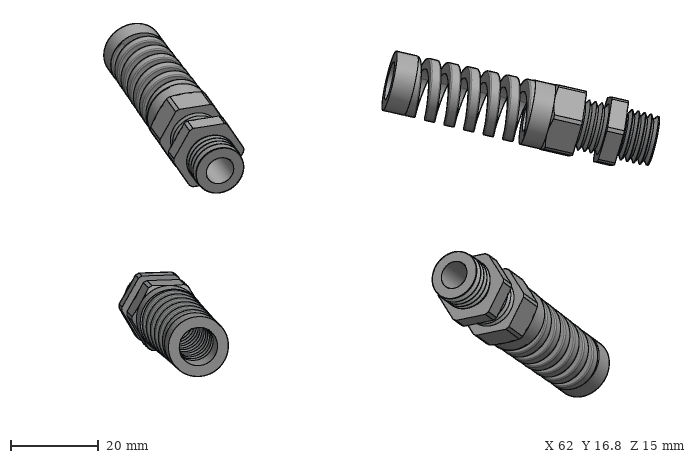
import cadquery as cq
import math

total_length = 62.0
collar_end = 4.95
sleeve_start = 32.35
cap_start = 37.05
cap_end = 44.1
flange_start = 50.1
flange_end = 54.0

across_flats = 15.0
across_corners = 16.8
cap_chamfer_length = 0.5

collar_radius = 6.95
coil_start_radius = 6.9
coil_end_radius = 7.45
coil_start = 3.2
coil_length = 32.35
coil_turns = 7
coil_pitch = coil_length / coil_turns
coil_width = 2.5
coil_corner_radius = 0.3
coil_bore_overlap = 0.6

guard_bore_radius = 4.4
thread_bore_radius = 3.3

crest_radius = 5.9
root_radius = 4.7
cap_ridge_count = 4
ridge_pitch = (flange_start - cap_end) / cap_ridge_count
neck_radius = 4.9
neck_end = 54.6
end_thread_start = 54.9
end_ridge_count = 4
end_crest_width = 0.1
last_crest_radius = 5.7
last_crest_length = 0.3


def revolve_profile(points):
    """Turn an (x, radius) outline about the X axis."""
    return cq.Workplane("XZ").polyline(points).close().revolve(360, (0, 0, 0), (1, 0, 0))


def cylinder(start, end, radius):
    return revolve_profile([(start, 0), (start, radius), (end, radius), (end, 0)])


def hexagon(start, end):
    """Hexagon with flats facing +Z and -Z and its corners turned to a cylinder."""
    sharp_corners = across_flats / math.cos(math.pi / 6)
    prism = cq.Workplane("YZ", origin=(start, 0, 0)).polygon(6, sharp_corners).extrude(end - start)
    return prism.intersect(cylinder(start, end, across_corners / 2))


def cap():
    """Hexagon with a conical chamfer on the side of the spring guard."""
    chamfer_envelope = revolve_profile([
        (cap_start, 0),
        (cap_start, across_flats / 2),
        (cap_start + cap_chamfer_length, across_corners / 2),
        (cap_end, across_corners / 2),
        (cap_end, 0),
    ])
    return hexagon(cap_start, cap_end).intersect(chamfer_envelope)


def coil():
    """Right-handed coil with rounded outer corners, reaching inwards past the bore."""
    taper_angle = math.degrees(math.atan2(coil_end_radius - coil_start_radius, coil_length))
    outer = coil_start_radius
    inner = guard_bore_radius - coil_bore_overlap
    helix = cq.Wire.makeHelix(coil_pitch, coil_length, outer, angle=taper_angle)
    section = (
        cq.Workplane("XZ")
        .moveTo(inner, -coil_width / 2)
        .lineTo(outer - coil_corner_radius, -coil_width / 2)
        .radiusArc((outer, -coil_width / 2 + coil_corner_radius), -coil_corner_radius)
        .lineTo(outer, coil_width / 2 - coil_corner_radius)
        .radiusArc((outer - coil_corner_radius, coil_width / 2), -coil_corner_radius)
        .lineTo(inner, coil_width / 2)
        .close()
    )
    swept = section.sweep(cq.Workplane(obj=helix), isFrenet=True)
    upright = swept.rotate((0, 0, 0), (0, 0, 1), 180)
    return upright.rotate((0, 0, 0), (0, 1, 0), 90).translate((coil_start, 0, 0))


def threaded_stem():
    outline = [(cap_start, 0), (cap_start, crest_radius), (cap_end, crest_radius)]
    for ridge in range(cap_ridge_count):
        x = cap_end + ridge * ridge_pitch
        outline += [(x + ridge_pitch / 2, root_radius), (x + ridge_pitch, crest_radius)]
    outline += [(flange_end, crest_radius), (flange_end, neck_radius), (neck_end, neck_radius)]
    for ridge in range(end_ridge_count):
        root = end_thread_start + ridge * ridge_pitch
        crest = root + ridge_pitch / 2
        outline += [
            (root, root_radius),
            (crest - end_crest_width / 2, crest_radius),
            (crest + end_crest_width / 2, crest_radius),
        ]
    outline += [
        (end_thread_start + end_ridge_count * ridge_pitch, root_radius),
        (total_length - last_crest_length, last_crest_radius),
        (total_length, last_crest_radius),
        (total_length, 0),
    ]
    return revolve_profile(outline)


collar = cylinder(0, collar_end, collar_radius)
sleeve = cylinder(sleeve_start, cap_start, across_flats / 2)
spring_guard = coil().union(collar).union(sleeve).cut(cylinder(0, cap_start, guard_bore_radius))

fitting = cap().union(threaded_stem()).union(hexagon(flange_start, flange_end))
fitting = fitting.cut(cylinder(cap_start, total_length, thread_bore_radius))

result = spring_guard.union(fitting)